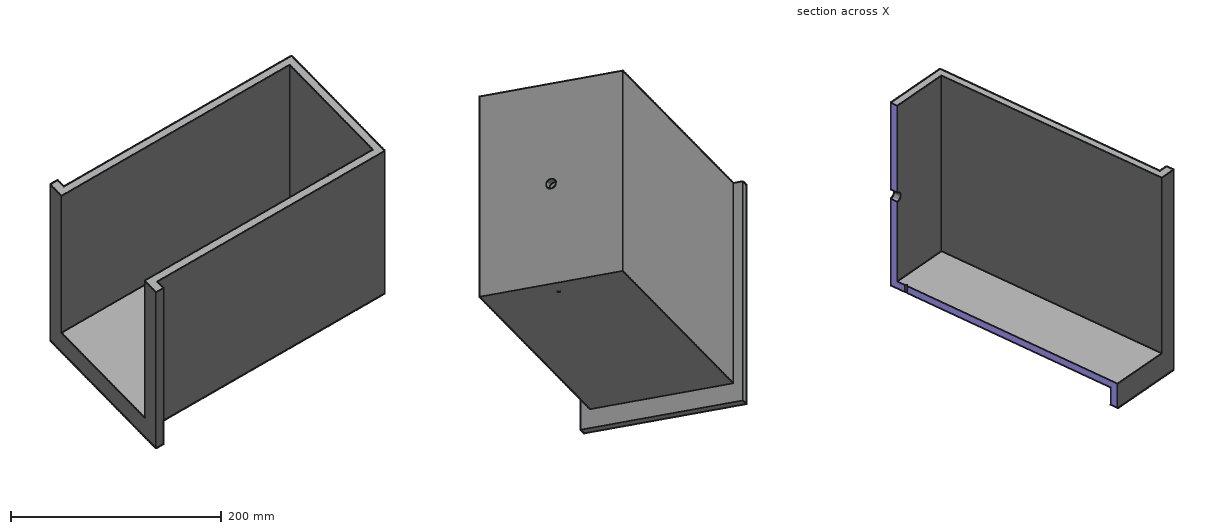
import cadquery as cq

flange_width = 168.0
flange_height = 231.0
flange_thickness = 9.0

total_length = 280.0
cavity_width = 132.0
side_wall = 8.0
back_wall = 8.5
body_width = cavity_width + 2 * side_wall
flange_drop = 20.0
body_height = flange_height - flange_drop
floor_top = 28.5

back_hole_diameter = 10.0
back_hole_height = flange_drop + body_height / 2
floor_hole_diameter = 2.5
floor_hole_from_back = 19.0


def block(width, length, height, front, bottom):
    """Box centred on X, placed by its front face and its underside."""
    return cq.Workplane("XY").box(width, length, height, centered=(True, False, False)).translate(
        (0, front, bottom)
    )


flange = block(flange_width, flange_thickness, flange_height, 0, 0)
body = block(body_width, total_length, body_height, 0, flange_drop)

cavity = block(cavity_width, total_length - back_wall, flange_height - floor_top, 0, floor_top)

back_hole = (
    cq.Workplane("XZ", origin=(0, total_length, back_hole_height))
    .circle(back_hole_diameter / 2)
    .extrude(back_wall)
)

floor_hole = (
    cq.Workplane("XY", origin=(0, total_length - floor_hole_from_back, flange_drop))
    .circle(floor_hole_diameter / 2)
    .extrude(floor_top - flange_drop)
)

result = flange.union(body).cut(cavity).cut(back_hole).cut(floor_hole)